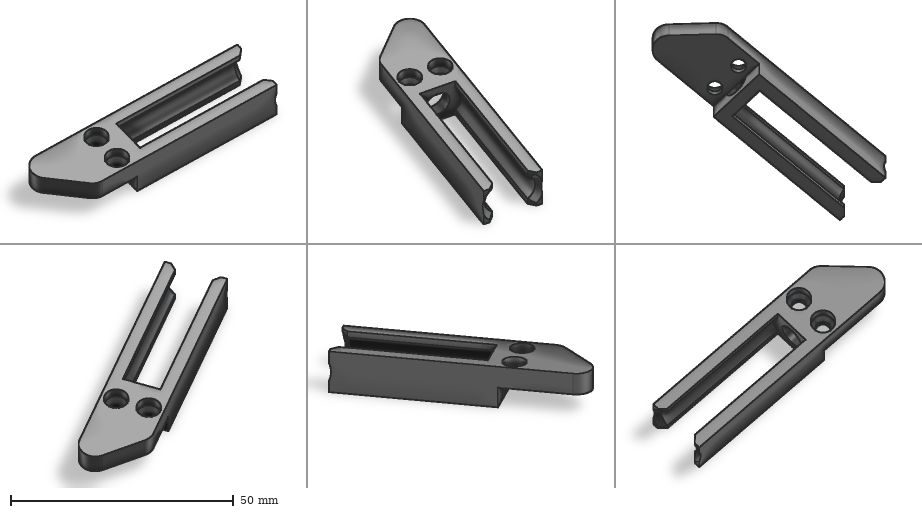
import cadquery as cq
import math

length = 60.0
width = 15.0
height = 10.0
center_x = width / 2
axis_z = height / 2

plate_thickness = 5.15
block_start = 21.0
nose_radius = width / 4

slot_width = 9.0
slot_start = 24.0
channel_radius = 4.2
channel_offset = 2.2
bore_diameter = 6.2

end_chamfer = 1.5

hole_diameter = 3.5
head_diameter = 5.6
head_recess_depth = 2.5
countersink_depth = (head_diameter - hole_diameter) / 2
hole_spacing = 7.8
hole_y = 18.0


def nose_outline():
    """Plan outline: rounded tip, 45 degree flank and rounded shoulder."""
    diagonal = nose_radius * math.sqrt(0.5)
    tip_x = nose_radius
    shoulder_x = width - nose_radius
    shoulder_y = nose_radius + shoulder_x - tip_x
    return (
        cq.Workplane("XY")
        .moveTo(0, length)
        .lineTo(0, nose_radius)
        .threePointArc((tip_x, 0), (tip_x + diagonal, nose_radius - diagonal))
        .lineTo(shoulder_x + diagonal, shoulder_y - diagonal)
        .tangentArcPoint((width, shoulder_y), relative=False)
        .lineTo(width, length)
        .close()
    )


def round_cut(radius, axis_x, start, end):
    """Cylinder along Y at mid height."""
    return cq.Workplane("XZ", origin=(axis_x, start, axis_z)).circle(radius).extrude(start - end)


def slot_lead_in():
    """45 degree flare of the slot walls at the open end."""
    half_slot = slot_width / 2
    half_mouth = half_slot + end_chamfer
    return (
        cq.Workplane("XY")
        .polyline(
            [
                (center_x - half_slot, length - end_chamfer),
                (center_x + half_slot, length - end_chamfer),
                (center_x + half_mouth, length),
                (center_x - half_mouth, length),
            ]
        )
        .close()
        .extrude(height)
    )


def channel_lead_in(axis_x):
    """45 degree conical flare of one channel at the open end."""
    cone = cq.Solid.makeCone(
        channel_radius + end_chamfer,
        channel_radius,
        end_chamfer,
        pnt=cq.Vector(axis_x, length, axis_z),
        dir=cq.Vector(0, -1, 0),
    )
    return cq.Workplane(cone)


def screw_hole():
    """Revolved cutter with its top at the origin: head recess, countersink, through hole."""
    head_radius = head_diameter / 2
    hole_radius = hole_diameter / 2
    countersink_bottom = -(head_recess_depth + countersink_depth)
    return (
        cq.Workplane("XZ")
        .lineTo(head_radius, 0)
        .lineTo(head_radius, -head_recess_depth)
        .lineTo(hole_radius, countersink_bottom)
        .lineTo(hole_radius, -height)
        .lineTo(0, -height)
        .close()
        .revolve(360, (0, 0, 0), (0, 1, 0))
    )


body = nose_outline().extrude(height)
body = body.cut(cq.Workplane().box(width, block_start, height - plate_thickness, centered=False))

slot = cq.Workplane().box(slot_width, length - slot_start, height, centered=False)
body = body.cut(slot.translate((center_x - slot_width / 2, slot_start, 0)))
body = body.cut(round_cut(bore_diameter / 2, center_x, block_start, slot_start))
body = body.cut(slot_lead_in())

for side in (-1, 1):
    channel_x = center_x + side * channel_offset
    body = body.cut(round_cut(channel_radius, channel_x, slot_start, length))
    body = body.cut(channel_lead_in(channel_x))

for side in (-1, 1):
    hole_x = center_x + side * hole_spacing / 2
    body = body.cut(screw_hole().translate((hole_x, hole_y, height)))

result = body